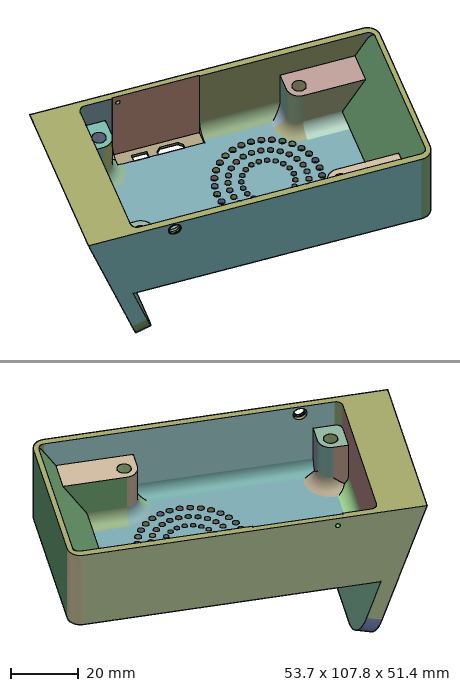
import cadquery as cq
import math

WIDTH = 53.7
LENGTH = 107.8
BOX_HEIGHT = 26.9
TOTAL_HEIGHT = 51.4
OUTER_RADIUS = 4.0

FRONT_ANGLE = 18.0
LEG_THICKNESS = 5.0
LEG_CORNER_RADIUS = 10.0

SIDE_WALL = 2.0
FLOOR = 2.0
CAVITY_FRONT = 14.4
CAVITY_BACK = LENGTH - 1.6
CAVITY_HALF_WIDTH = WIDTH / 2 - SIDE_WALL
CAVITY_CORNER_RADIUS = 2.0
FLOOR_FILLET = 4.0
FILLET_TOP = FLOOR + FLOOR_FILLET
BACK_SLOPE_FOOT_Y = 93.3

POST_RADIUS = 4.0
POST_X = 19.1
POST_TOP = 17.9
FRONT_POST_Y = 19.0
REAR_POST_Y = 81.3
POST_HOLE_DIAMETER = 4.2
POST_INNER_X = POST_X - POST_RADIUS

VENT_Y = 65.2
VENT_RINGS = [
    (16.0, 32, 2.0, 0.0),
    (12.0, 26, 1.8, 5.8),
    (8.0, 20, 1.6, 2.0),
]

POCKET_LEFT = -WIDTH / 2 + 1.7
POCKET_WIDTH = 5.1
POCKET_FRONT = 25.1
POCKET_LENGTH = 27.2
POCKET_FLOOR = 1.0
LARGE_PORT_LEFT = -WIDTH / 2 + 3.3
LARGE_PORT_WIDTH = 3.0
LARGE_PORT_FRONT = 38.2
LARGE_PORT_LENGTH = 8.2
LARGE_PORT_CHAMFER = 1.3
SMALL_PORT_LEFT = -WIDTH / 2 + 3.7
SMALL_PORT_WIDTH = 2.4
SMALL_PORT_FRONT = 30.5
SMALL_PORT_LENGTH = 4.7

SIDE_HOLE_Y = 26.9
SIDE_HOLE_Z = BOX_HEIGHT - 2.8
LEFT_HOLE_DIAMETER = 1.4
RIGHT_HOLE_DIAMETER = 3.3
INNER_BORE_DIAMETER = 4.2
INNER_BORE_DEPTH = 1.2
OUTER_BORE_DIAMETER = 4.0
OUTER_BORE_DEPTH = 0.2


def block(x0, x1, y0, y1, z0, z1):
    return cq.Workplane("XY").box(x1 - x0, y1 - y0, z1 - z0, centered=False).translate((x0, y0, z0))


def cylinder(x, y, z0, z1, radius):
    return cq.Workplane("XY", origin=(x, y, z0)).circle(radius).extrude(z1 - z0)


def yz_prism(points, half_width):
    return cq.Workplane("YZ").polyline(points).close().extrude(half_width, both=True)


def outer_body():
    angle = math.radians(FRONT_ANGLE)
    tip_y = TOTAL_HEIGHT * math.tan(angle)
    tip_z = BOX_HEIGHT - TOTAL_HEIGHT
    heel_y = tip_y + LEG_THICKNESS * math.cos(angle)
    heel_z = tip_z + LEG_THICKNESS * math.sin(angle)
    leg_root_y = heel_y + heel_z * math.tan(angle)
    side_profile = [
        (0, BOX_HEIGHT),
        (tip_y, tip_z),
        (heel_y, heel_z),
        (leg_root_y, 0),
        (LENGTH, 0),
        (LENGTH, BOX_HEIGHT),
    ]
    body = yz_prism(side_profile, WIDTH / 2)
    body = body.edges("|Z and >Y").fillet(OUTER_RADIUS)
    leg_direction = cq.Vector(0, math.cos(angle), math.sin(angle))
    leg_end_edges = body.edges(cq.selectors.ParallelDirSelector(leg_direction))
    return leg_end_edges.fillet(LEG_CORNER_RADIUS)


def rear_post(side):
    """Filled bar from the post's rounded front to the back of the cavity, along one side wall."""
    x0, x1 = sorted((side * POST_INNER_X, side * WIDTH / 2))
    bar = block(x0, x1, REAR_POST_Y - POST_RADIUS, LENGTH, 0, POST_TOP)
    inner_edge = "<X" if side > 0 else ">X"
    return bar.edges("|Z and <Y").edges(inner_edge).fillet(POST_RADIUS)


def cavity():
    space = block(-CAVITY_HALF_WIDTH, CAVITY_HALF_WIDTH, CAVITY_FRONT, CAVITY_BACK, FLOOR, BOX_HEIGHT)
    space = space.edges("|Z").fillet(CAVITY_CORNER_RADIUS)
    for side in (-1, 1):
        space = space.cut(rear_post(side))
    space = space.faces("<Z").edges().fillet(FLOOR_FILLET)
    back_wedge = [
        (CAVITY_BACK, BOX_HEIGHT),
        (BACK_SLOPE_FOOT_Y, FILLET_TOP),
        (CAVITY_BACK, FILLET_TOP),
    ]
    return space.cut(yz_prism(back_wedge, WIDTH / 2))


def front_post(side):
    """Round post with a flared foot, squared off into the corner of the cavity."""
    foot_radius = POST_RADIUS + FLOOR_FILLET
    arc_offset = FLOOR_FILLET * math.sqrt(0.5)
    post = (
        cq.Workplane("XZ")
        .lineTo(foot_radius, 0)
        .lineTo(foot_radius, FLOOR)
        .threePointArc((foot_radius - arc_offset, FILLET_TOP - arc_offset), (POST_RADIUS, FILLET_TOP))
        .lineTo(POST_RADIUS, POST_TOP)
        .lineTo(0, POST_TOP)
        .close()
        .revolve(360, (0, 0), (0, 1))
        .translate((side * POST_X, FRONT_POST_Y, 0))
    )
    wall_x = side * WIDTH / 2
    front_y = CAVITY_FRONT - SIDE_WALL
    x0, x1 = sorted((side * POST_X, wall_x))
    post = post.union(block(x0, x1, front_y, FRONT_POST_Y + POST_RADIUS, 0, POST_TOP))
    x0, x1 = sorted((side * POST_INNER_X, wall_x))
    return post.union(block(x0, x1, front_y, FRONT_POST_Y, 0, POST_TOP))


def vent_holes():
    center = cq.Workplane("XY", origin=(0, VENT_Y, 0))
    holes = cq.Workplane("XY")
    for ring_radius, count, diameter, start in VENT_RINGS:
        ring = center.polarArray(ring_radius, start, 360, count).circle(diameter / 2).extrude(FLOOR)
        holes = holes.add(ring)
    return holes.combine()


def port(left, width, front, length):
    return block(left, left + width, front, front + length, 0, POCKET_FLOOR)


def connector_cuts():
    pocket = block(
        POCKET_LEFT, POCKET_LEFT + POCKET_WIDTH,
        POCKET_FRONT, POCKET_FRONT + POCKET_LENGTH,
        POCKET_FLOOR, BOX_HEIGHT,
    )
    large = port(LARGE_PORT_LEFT, LARGE_PORT_WIDTH, LARGE_PORT_FRONT, LARGE_PORT_LENGTH)
    large = large.edges("|Z and <X").chamfer(LARGE_PORT_CHAMFER)
    small = port(SMALL_PORT_LEFT, SMALL_PORT_WIDTH, SMALL_PORT_FRONT, SMALL_PORT_LENGTH)
    return pocket.union(large).union(small)


def side_holes():
    axis = cq.Workplane("YZ").center(SIDE_HOLE_Y, SIDE_HOLE_Z)
    left = axis.circle(LEFT_HOLE_DIAMETER / 2).extrude(-WIDTH / 2)
    right = axis.circle(RIGHT_HOLE_DIAMETER / 2).extrude(WIDTH / 2)
    inner_bore = axis.circle(INNER_BORE_DIAMETER / 2).extrude(CAVITY_HALF_WIDTH + INNER_BORE_DEPTH)
    outer_bore = (
        axis.workplane(offset=WIDTH / 2 - OUTER_BORE_DEPTH)
        .circle(OUTER_BORE_DIAMETER / 2)
        .extrude(OUTER_BORE_DEPTH)
    )
    return left.union(right).union(inner_bore).union(outer_bore)


body = outer_body()
result = body.cut(cavity())
for side in (-1, 1):
    result = result.union(front_post(side).intersect(body))
    result = result.cut(cylinder(side * POST_X, FRONT_POST_Y, FLOOR, POST_TOP, POST_HOLE_DIAMETER / 2))
    result = result.cut(cylinder(side * POST_X, REAR_POST_Y, 0, POST_TOP, POST_HOLE_DIAMETER / 2))
result = result.cut(connector_cuts()).cut(vent_holes()).cut(side_holes())